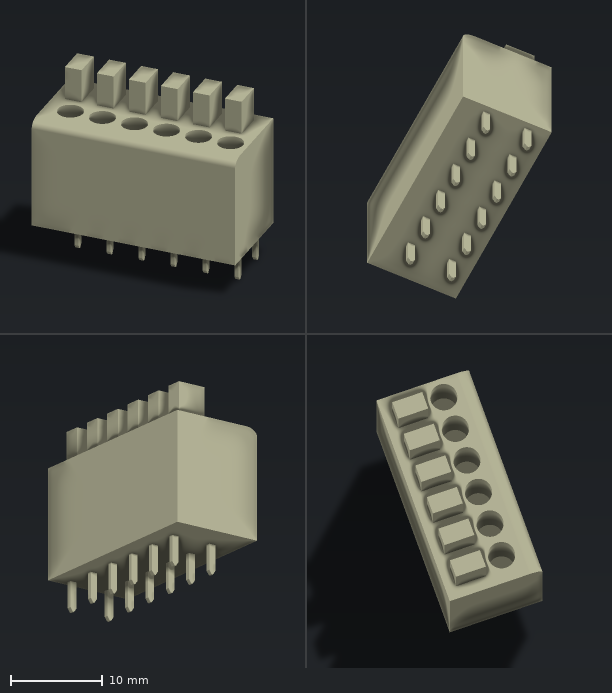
import cadquery as cq

length = 24.2
depth = 10.8
height = 13.0
edge_round_depth = 1.45
edge_round_drop = 0.97

contact_count = 6
row_span = 19.05
pitch = row_span / (contact_count - 1)

button_width = 1.99
button_depth = 3.49
button_height = 3.97
first_button_x = 2.37
button_back_margin = 1.2
button_y = depth - button_back_margin - button_depth / 2

hole_diameter = 3.0
hole_depth = 6.0
first_hole_x = 3.05
hole_y = 3.7

pin_thickness = 0.5
pin_width = 0.82
pin_length = 3.49
tip_length = 0.45
tip_width = 0.2
first_pin_x = 4.12
pin_row_spacing = 5.0
front_pin_y = 3.27
pin_rows = [front_pin_y, front_pin_y + pin_row_spacing]


def contact_positions(first_x, y):
    """Points of one row of contacts, spaced by the pitch."""
    return [(first_x + i * pitch, y) for i in range(contact_count)]


def make_housing():
    """Block whose top front edge is rounded by a quarter ellipse."""
    return (
        cq.Workplane("YZ")
        .moveTo(0, 0)
        .lineTo(depth, 0)
        .lineTo(depth, height)
        .lineTo(edge_round_depth, height)
        .ellipseArc(edge_round_depth, edge_round_drop, 90, 180, startAtCurrent=True)
        .close()
        .extrude(length)
    )


def make_buttons():
    return (
        cq.Workplane("XY", origin=(0, 0, height))
        .pushPoints(contact_positions(first_button_x, button_y))
        .rect(button_width, button_depth)
        .extrude(button_height)
    )


def make_wire_holes():
    return (
        cq.Workplane("XY", origin=(0, 0, height))
        .pushPoints(contact_positions(first_hole_x, hole_y))
        .circle(hole_diameter / 2)
        .extrude(-hole_depth)
    )


def make_pin(x, y):
    """Flat pin below the housing, tapered to a narrow tip."""
    shoulder_z = tip_length - pin_length
    outline = [
        (-pin_width / 2, 0),
        (-pin_width / 2, shoulder_z),
        (-tip_width / 2, -pin_length),
        (tip_width / 2, -pin_length),
        (pin_width / 2, shoulder_z),
        (pin_width / 2, 0),
    ]
    return (
        cq.Workplane("YZ", origin=(x, y, 0))
        .polyline(outline)
        .close()
        .extrude(pin_thickness / 2, both=True)
    )


result = make_housing().cut(make_wire_holes()).union(make_buttons())
for row_y in pin_rows:
    for pin_x, pin_y in contact_positions(first_pin_x, row_y):
        result = result.union(make_pin(pin_x, pin_y))